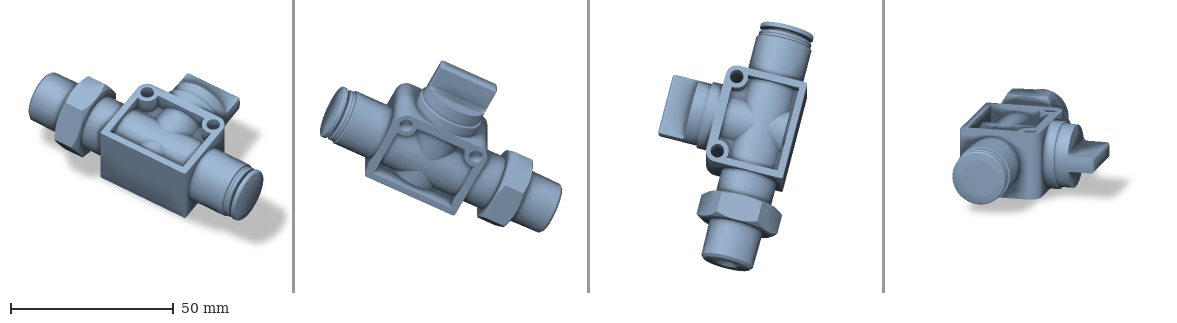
import cadquery as cq
import math


thread_start_x = -43.55
hex_start_x = -31.6
hex_end_x = -23.55
tube_end_x = 27.5
rings_end_x = 29.65
flange_start_x = 30.7
collet_end_x = thread_start_x + 76

thread_tip_dia = 16.35
thread_root_dia = 16.8
thread_chamfer = 0.8
bore_dia = 7.0
hex_flats = 22.2
hex_chamfer_angle = 30

tube_dia = 17.5
tube_start_chamfer = 0.3
ring_dia = 16.5
ring_width = 0.45
ring_count = 2
groove_width = 0.45
groove_depth = 0.2
neck_dia = 11.6
flange_dia = 16.8
flange_rim = 1.1
flange_chamfer = 0.3

body_half_length = 15.5
body_back_y = 14.45
body_front_y = -10.6
body_height = 21.0
front_corner_radius = 0.5
pocket_half_length = 13.4
pocket_back_y = 11.6
pocket_front_y = -8.5
pocket_floor_z = 5.1

hole_dia = 4.2
post_dia = 7.0
post_radius = post_dia / 2
post_x = body_half_length - post_radius
post_y = body_back_y - post_radius

housing_dia = 16.8
housing_front_y = -7.5
spigot_dia = 13.2

collar_dia = body_height
collar_end_y = 18.0
collar_chamfer = 0.2
handle_dia = 19.5
handle_base_y = 22.2
handle_tip_y = 30.5
blade_thickness = 4.9
blade_root_radius = 1.15
blade_tip_radius = 1.0


def x_cylinder(dia, start_x, end_x):
    """Cylinder on the flow axis."""
    return cq.Workplane("YZ", origin=(start_x, 0, 0)).circle(dia / 2).extrude(end_x - start_x)


def y_cylinder(dia, start_y, end_y):
    """Cylinder on the handle axis."""
    return cq.Workplane("XZ", origin=(0, end_y, 0)).circle(dia / 2).extrude(end_y - start_y)


def box_between(x_half, y_min, y_max, z_min, z_max):
    """Box centred on X = 0 between the given Y and Z limits."""
    return cq.Workplane("XY").box(2 * x_half, y_max - y_min, z_max - z_min).translate(
        (0, (y_min + y_max) / 2, (z_min + z_max) / 2)
    )


def revolve_about_x(points):
    """Turn an (x, radius) outline around the flow axis."""
    return cq.Workplane("XY").polyline(points).close().revolve(360, (0, 0, 0), (1, 0, 0))


def make_thread():
    """Plain taper thread with a chamfered tip."""
    tip_radius = thread_tip_dia / 2
    return revolve_about_x([
        (thread_start_x, 0),
        (thread_start_x, tip_radius - thread_chamfer),
        (thread_start_x + thread_chamfer, tip_radius),
        (hex_start_x, thread_root_dia / 2),
        (hex_start_x, 0),
    ])


def make_hexagon():
    """Hexagon with both ends turned to a cone that meets the flats."""
    corner_dia = hex_flats / math.cos(math.radians(30))
    flat_radius = hex_flats / 2
    corner_radius = corner_dia / 2
    cone_length = (corner_radius - flat_radius) * math.tan(math.radians(hex_chamfer_angle))
    prism = (
        cq.Workplane("YZ", origin=(hex_start_x, 0, 0))
        .polygon(6, corner_dia)
        .extrude(hex_end_x - hex_start_x)
    )
    turned_blank = revolve_about_x([
        (hex_start_x, 0),
        (hex_start_x, flat_radius),
        (hex_start_x + cone_length, corner_radius),
        (hex_end_x - cone_length, corner_radius),
        (hex_end_x, flat_radius),
        (hex_end_x, 0),
    ])
    return prism.intersect(turned_blank)


def make_tube():
    """Main tube, chamfered next to the hexagon."""
    tube = x_cylinder(tube_dia, hex_end_x, tube_end_x)
    return tube.faces("<X").chamfer(tube_start_chamfer)


def make_end_cap():
    """Rings parted by V grooves, the first groove starting at the tube end."""
    ring_radius = ring_dia / 2
    groove_radius = ring_radius - groove_depth
    outline = [(tube_end_x, 0), (tube_end_x, tube_dia / 2)]
    for index in range(ring_count):
        groove_x = tube_end_x + index * (groove_width + ring_width)
        ring_x = groove_x + groove_width
        outline += [
            (groove_x + groove_width / 2, groove_radius),
            (ring_x, ring_radius),
            (ring_x + ring_width, ring_radius),
        ]
    outline += [(rings_end_x, groove_radius), (rings_end_x, 0)]
    return revolve_about_x(outline)


def make_collet():
    """Neck and release flange with a shallow conical face."""
    flange_radius = flange_dia / 2
    rim_end_x = flange_start_x + flange_rim
    return revolve_about_x([
        (rings_end_x, 0),
        (rings_end_x, neck_dia / 2),
        (flange_start_x, neck_dia / 2),
        (flange_start_x, flange_radius),
        (rim_end_x, flange_radius),
        (rim_end_x + flange_chamfer, flange_radius - flange_chamfer),
        (collet_end_x, neck_dia / 2),
        (collet_end_x, 0),
    ])


def make_body():
    """Block pocketed from above and below, leaving a thick middle web."""
    half_height = body_height / 2
    body = box_between(body_half_length, body_front_y, body_back_y, -half_height, half_height)
    body = body.edges("|Z and >Y").fillet(post_radius)
    body = body.edges("|Z and <Y").fillet(front_corner_radius)
    for z_min, z_max in ((pocket_floor_z, half_height), (-half_height, -pocket_floor_z)):
        body = body.cut(box_between(pocket_half_length, pocket_front_y, pocket_back_y, z_min, z_max))
    return body


def at_hole_centres(dia):
    """Full-height cylinders at the two mounting holes."""
    return (
        cq.Workplane("XY")
        .pushPoints([(-post_x, post_y), (post_x, post_y)])
        .circle(dia / 2)
        .extrude(body_height / 2, both=True)
    )


def make_housing():
    """Ball seat housing and the spigot that ties it to the front wall."""
    housing = y_cylinder(housing_dia, housing_front_y, pocket_back_y)
    return housing.union(y_cylinder(spigot_dia, pocket_front_y, housing_front_y))


def make_handle():
    """Collar and round grip with a flat blade cut from its outer end."""
    grip = y_cylinder(handle_dia, collar_end_y, handle_tip_y)
    grip_radius = handle_dia / 2
    half_blade = blade_thickness / 2
    for z_min, z_max in ((half_blade, grip_radius), (-grip_radius, -half_blade)):
        grip = grip.cut(box_between(grip_radius, handle_base_y, handle_tip_y, z_min, z_max))
    margin = 0.1
    blade_root = cq.selectors.BoxSelector(
        (-half_blade, handle_base_y - margin, -half_blade - margin),
        (half_blade, handle_base_y + margin, half_blade + margin),
    )
    grip = grip.edges(blade_root).fillet(blade_root_radius)
    grip = grip.faces(">Y").edges().fillet(blade_tip_radius)
    collar = y_cylinder(collar_dia, body_back_y, collar_end_y).faces(">Y").chamfer(collar_chamfer)
    return collar.union(grip)


result = make_body()
for feature in (
    at_hole_centres(post_dia),
    make_housing(),
    make_thread(),
    make_hexagon(),
    make_tube(),
    make_end_cap(),
    make_collet(),
    make_handle(),
):
    result = result.union(feature)

result = result.cut(at_hole_centres(hole_dia))

result = result.cut(x_cylinder(bore_dia, thread_start_x, hex_end_x))